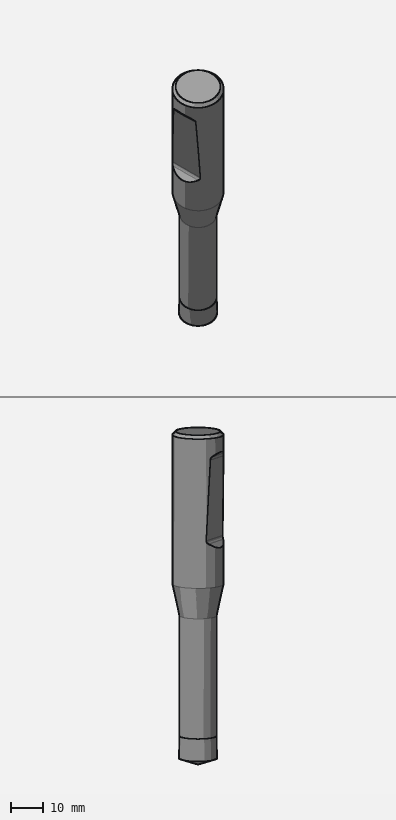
import cadquery as cq
import math

total_length = 105.0
shank_diameter = 16.0
shank_length = 48.0
shank_chamfer = 1.0
taper_length = 10.0
neck_diameter = 11.7

tip_diameter = 12.0
tip_band_length = 7.0
tip_point_height = 2.1

notch_floor_top_z = 97.9
notch_floor_bottom_z = 71.3
notch_bottom_depth = 2.2
notch_floor_slope = math.radians(2)
notch_fillet = 1.5

shank_radius = shank_diameter / 2
neck_radius = neck_diameter / 2
tip_radius = tip_diameter / 2
joint_z = tip_point_height + tip_band_length
taper_top_z = total_length - shank_length
taper_bottom_z = taper_top_z - taper_length
notch_floor_rise = (notch_floor_top_z - notch_floor_bottom_z) * math.tan(notch_floor_slope)
notch_top_depth = notch_bottom_depth - notch_floor_rise


def revolve_profile(points):
    """Revolve a closed (radius, Z) outline about the Z axis."""
    return cq.Workplane("XZ").polyline(points).close().revolve(360, (0, 0, 0), (0, 1, 0))


def make_notch_cutter():
    """Prism across the shank with a sloping floor and end walls, rounded where they meet."""
    surface_y = -shank_radius
    outside_y = -shank_diameter
    mouth_top_z = notch_floor_top_z + notch_top_depth
    mouth_bottom_z = notch_floor_bottom_z - notch_bottom_depth
    outline = [
        (outside_y, mouth_bottom_z),
        (surface_y, mouth_bottom_z),
        (surface_y + notch_bottom_depth, notch_floor_bottom_z),
        (surface_y + notch_top_depth, notch_floor_top_z),
        (surface_y, mouth_top_z),
        (outside_y, mouth_top_z),
    ]
    prism = cq.Workplane("YZ").polyline(outline).close().extrude(shank_radius, both=True)
    inside_corners = cq.selectors.BoxSelector(
        (-shank_diameter, surface_y + notch_top_depth / 2, 0),
        (shank_diameter, 0, total_length),
    )
    return prism.edges("|X").edges(inside_corners).fillet(notch_fillet)


def make_shank():
    """Chamfered clamping shank, taper and neck, with the clamping notch cut in."""
    body = revolve_profile([
        (0, joint_z),
        (neck_radius, joint_z),
        (neck_radius, taper_bottom_z),
        (shank_radius, taper_top_z),
        (shank_radius, total_length - shank_chamfer),
        (shank_radius - shank_chamfer, total_length),
        (0, total_length),
    ])
    return body.cut(make_notch_cutter())


def make_tip():
    """Cutting tip that sits flush on the lower end of the neck."""
    return revolve_profile([
        (0, 0),
        (tip_radius, tip_point_height),
        (neck_radius, joint_z),
        (0, joint_z),
    ])


shank = make_shank()
tip = make_tip()

result = cq.Compound.makeCompound([shank.val(), tip.val()])